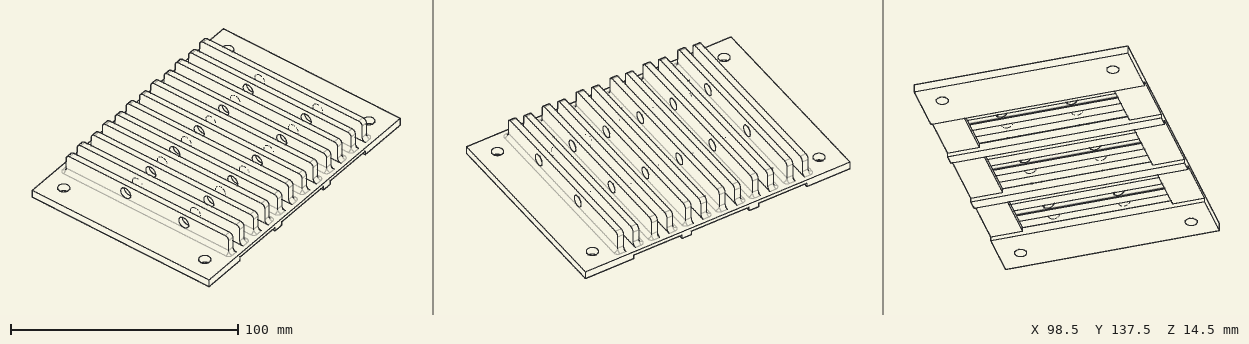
import cadquery as cq
import math

plate_width = 98.5
plate_length = 137.5
plate_thickness = 4.0
mount_hole_diameter = 5.4
mount_hole_spacing_x = 78.5
mount_hole_spacing_y = 117.9

recess_depth = plate_thickness / 2
first_recess_back_y = 43.6
outer_recess_length = 25.0
middle_recess_length = 30.0
rib_width = 5.0
window_width = 69.0

overall_height = 14.5
fin_height_difference = 1.0
tall_height = overall_height - plate_thickness
short_height = tall_height - fin_height_difference
fin_length = 90.5
fin_thickness = 3.0
fin_corner_radius = 1.9
fin_root_radius = 1.9
pair_count = 6
pair_pitch = 17.6
first_tall_y = 48.0
tall_to_short = 8.0

shifted_pair = 4
pair_shift = 0.4

fin_hole_diameter = 5.5
fin_hole_depth = 2.5
fin_hole_xs = (-12.1, 20.2)
fin_hole_height = 4.8


def block(width, length, height, y=0, z=0):
    """Box centred on X = 0 and Y = y with its bottom at Z = z."""
    box = cq.Workplane("XY").box(width, length, height, centered=(True, True, False))
    return box.translate((0, y, z))


def make_plate():
    return (
        block(plate_width, plate_length, plate_thickness)
        .faces(">Z").workplane()
        .rect(mount_hole_spacing_x, mount_hole_spacing_y, forConstruction=True).vertices()
        .hole(mount_hole_diameter)
    )


def root_profile():
    """Section of the root flare: a concave corner fill in the XZ plane."""
    arc_inset = fin_root_radius * (1 - math.sqrt(0.5))
    return (
        cq.Workplane("XZ")
        .lineTo(fin_root_radius, 0)
        .threePointArc((arc_inset, arc_inset), (0, fin_root_radius))
        .close()
    )


def make_root():
    """Flare around both ends and the -Y side of a fin centred on the Z axis."""
    half_length = fin_length / 2
    half_thickness = fin_thickness / 2
    end_strip = root_profile().extrude(fin_thickness).translate((half_length, half_thickness, 0))
    corner = (
        root_profile().revolve(90, (0, 0, 0), (0, 1, 0))
        .rotate((0, 0, 0), (0, 0, 1), -90)
        .translate((half_length, -half_thickness, 0))
    )
    side_strip = (
        root_profile().extrude(fin_length)
        .rotate((0, 0, 0), (0, 0, 1), -90)
        .translate((half_length, -half_thickness, 0))
    )
    end = end_strip.union(corner)
    return end.union(end.mirror("YZ")).union(side_strip)


def make_fin(height):
    """Fin standing on Z = 0, with its flare and blind holes on the -Y side."""
    fin = block(fin_length, fin_thickness, height)
    fin = fin.edges("|Y and >Z").fillet(fin_corner_radius)
    fin = fin.union(make_root())
    for x in fin_hole_xs:
        hole = cq.Solid.makeCylinder(
            fin_hole_diameter / 2,
            fin_hole_depth,
            cq.Vector(x, -fin_thickness / 2, fin_hole_height),
            cq.Vector(0, 1, 0),
        )
        fin = fin.cut(cq.Workplane(hole))
    return fin


def add_fins(body):
    tall_fin = make_fin(tall_height).mirror("XZ")
    short_fin = make_fin(short_height)
    for index in range(pair_count):
        tall_y = first_tall_y - index * pair_pitch
        if index == shifted_pair:
            tall_y += pair_shift
        body = body.union(tall_fin.translate((0, tall_y, plate_thickness)))
        body = body.union(short_fin.translate((0, tall_y - tall_to_short, plate_thickness)))
    return body


def cut_recesses(body):
    """Cut the three underside recesses and the windows through the plate above them."""
    back_y = first_recess_back_y
    for length in (outer_recess_length, middle_recess_length, outer_recess_length):
        centre_y = back_y - length / 2
        body = body.cut(block(plate_width, length, recess_depth, centre_y))
        body = body.cut(block(window_width, length, plate_thickness, centre_y))
        back_y -= length + rib_width
    return body


result = cut_recesses(add_fins(make_plate()))